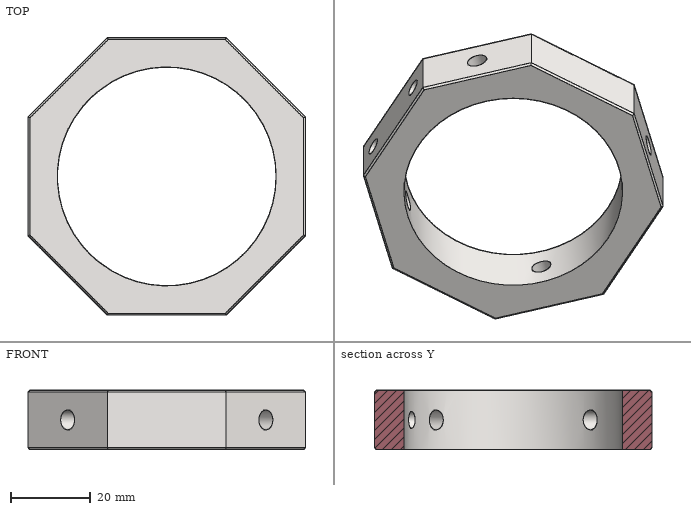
import cadquery as cq

width = 70.0
height = 15.0
corner_cut = 20.0
bore_diameter = 55.1
edge_chamfer = 0.5
corner_hole_diameter = 5.0
side_hole_diameter = 4.2
side_hole_spacing = 20.0

mid_height = height / 2


def octagonal_ring():
    """Octagonal block with chamfered rims and a round bore."""
    block = cq.Workplane("XY").box(width, width, height, centered=(True, True, False))
    block = block.edges("|Z").chamfer(corner_cut)
    block = block.faces("<Z or >Z").edges().chamfer(edge_chamfer)
    bore = cq.Workplane("XY").circle(bore_diameter / 2).extrude(height)
    return block.cut(bore)


def radial_hole(diameter, angle, offset=0.0):
    """Cutter from the bore outward through one wall, shifted sideways by offset."""
    return (
        cq.Workplane("YZ")
        .center(offset, mid_height)
        .circle(diameter / 2)
        .extrude(width)
        .rotate((0, 0, 0), (0, 0, 1), angle)
    )


result = octagonal_ring()

for angle in (45, 135, 225, 315):
    result = result.cut(radial_hole(corner_hole_diameter, angle))

for offset in (-side_hole_spacing / 2, side_hole_spacing / 2):
    result = result.cut(radial_hole(side_hole_diameter, 180, offset))